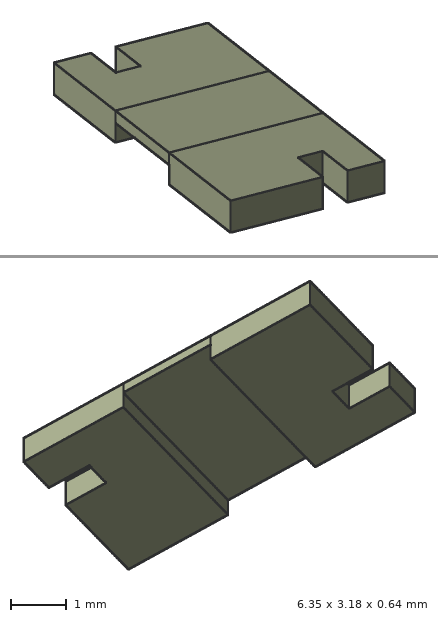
import cadquery as cq

length = 6.35
width = 3.18
height = 0.64

terminal_length = 2.21
strip_length = length - 2 * terminal_length
strip_thickness = 0.25

notch_depth = 0.895
notch_width = 0.51
notch_edge_distance = 0.77


def make_left_terminal():
    """Full-height block at the -X end, notched through its outer face."""
    block = cq.Workplane("XY").box(
        terminal_length, width, height, centered=(False, True, False)
    ).translate((-length / 2, 0, 0))
    notch = cq.Workplane("XY").box(
        notch_depth, notch_width, height, centered=False
    ).translate((-length / 2, -width / 2 + notch_edge_distance, 0))
    return block.cut(notch)


def make_strip():
    """Thin strip between the terminals, flush with their top faces."""
    return cq.Workplane("XY").box(
        strip_length, width, strip_thickness, centered=(True, True, False)
    ).translate((0, 0, height - strip_thickness))


terminals = []
for angle in (0, 180):
    terminal = make_left_terminal().rotate((0, 0, 0), (0, 0, 1), angle)
    terminals.append(terminal.val())

strip = make_strip()

result = cq.Compound.makeCompound([*terminals, strip.val()])